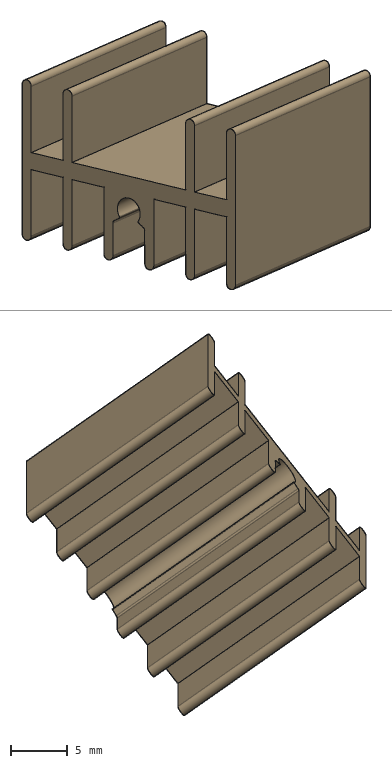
import cadquery as cq
import math

LENGTH = 20.0
HEIGHT = 15.0

BASE_THICKNESS = 1.6
BASE_BOTTOM = (HEIGHT - BASE_THICKNESS) / 2
BASE_TOP = BASE_BOTTOM + BASE_THICKNESS

FIN_THICKNESS = 1.0
FIN_PITCH = 4.5
CLIP_FIN_X = FIN_PITCH / 2
INNER_FIN_X = CLIP_FIN_X + FIN_PITCH
OUTER_FIN_X = INNER_FIN_X + FIN_PITCH

CHANNEL_HALF_WIDTH = CLIP_FIN_X - FIN_THICKNESS / 2
BORE_RADIUS = 1.25
BORE_Z = 5.0
MOUTH_HALF_WIDTH = 0.97
LIP_SLOPE = 32.0
LIP_TIP_FILLET = 0.1
LIP_ROOT_FILLET = 0.3


def bar(x_center, width, z_bottom, z_top):
    """Rectangular bar running the full length along Y."""
    height = z_top - z_bottom
    z_center = (z_bottom + z_top) / 2
    return cq.Workplane("XY").box(width, LENGTH, height).translate((x_center, 0, z_center))


def fin(x_center, z_top):
    """Full-length fin standing on Z = 0, with a half-cylinder tip at both ends."""
    return (
        cq.Workplane("XZ")
        .center(x_center, z_top / 2)
        .slot2D(z_top, FIN_THICKNESS, 90)
        .extrude(LENGTH / 2, both=True)
    )


def keyhole_channel():
    """Round bore opening through a narrow mouth into the gap between the middle fins."""
    lip_tip_z = BORE_Z - math.sqrt(BORE_RADIUS**2 - MOUTH_HALF_WIDTH**2)
    lip_drop = (CHANNEL_HALF_WIDTH - MOUTH_HALF_WIDTH) * math.tan(math.radians(LIP_SLOPE))
    lip_root_z = lip_tip_z - lip_drop
    channel = (
        cq.Workplane("XZ")
        .moveTo(-CHANNEL_HALF_WIDTH, 0)
        .lineTo(-CHANNEL_HALF_WIDTH, lip_root_z)
        .lineTo(-MOUTH_HALF_WIDTH, lip_tip_z)
        .threePointArc((0, BORE_Z + BORE_RADIUS), (MOUTH_HALF_WIDTH, lip_tip_z))
        .lineTo(CHANNEL_HALF_WIDTH, lip_root_z)
        .lineTo(CHANNEL_HALF_WIDTH, 0)
        .close()
        .extrude(LENGTH / 2, both=True)
    )
    for side in (-1, 1):
        lip_tip = (side * MOUTH_HALF_WIDTH, 0, lip_tip_z)
        lip_root = (side * CHANNEL_HALF_WIDTH, 0, lip_root_z)
        channel = channel.edges(cq.NearestToPointSelector(lip_tip)).fillet(LIP_TIP_FILLET)
        channel = channel.edges(cq.NearestToPointSelector(lip_root)).fillet(LIP_ROOT_FILLET)
    return channel


def clip_block():
    """Two lower middle fins joined by the material around the keyhole channel."""
    block = bar(0, 2 * CLIP_FIN_X, FIN_THICKNESS / 2, BASE_TOP)
    block = block.cut(keyhole_channel())
    for side in (-1, 1):
        block = block.union(fin(side * CLIP_FIN_X, BASE_TOP))
    return block


result = bar(0, 2 * OUTER_FIN_X, BASE_BOTTOM, BASE_TOP).union(clip_block())
for side in (-1, 1):
    for fin_x in (INNER_FIN_X, OUTER_FIN_X):
        result = result.union(fin(side * fin_x, HEIGHT))
result = result.clean()